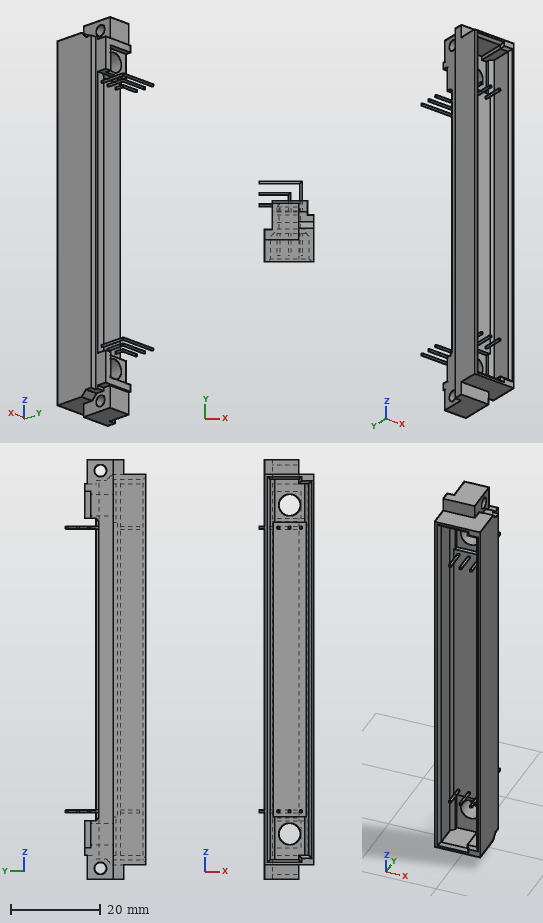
import cadquery as cq


LENGTH = 94.0
HALF_LENGTH = LENGTH / 2
HOUSING_WIDTH = 11.1
HOUSING_HALF = 43.8
HOUSING_DEPTH = 10.5
FLANGE_WIDTH = 7.7
FLANGE_FRONT = 4.9
BACK_STEP_Y = 7.2
BACK_STEP_X = 1.7
BEVEL_FRONT = 7.5
BEVEL_SIZE = 1.4

RAIL_DEPTH = 11.2
TAB_WIDTH = 9.7
EAR_BACK = 13.2
EAR_INNER_Z = 33.8
TAB_BACK = 13.7
TAB_TOP_Z = 41.6
NOTCH_TOP_Z = 39.95
NOTCH_FRONT = 12.3
NOTCH_END_X = 8.1

SIDE_HOLE_DIAMETER = 2.6
SIDE_HOLE_Y = 10.15
SIDE_HOLE_Z = 44.6
SCREW_HOLE_DIAMETER = 4.8
SCREW_HOLE_Z = 36.85

CAVITY_CENTRE_X = 5.6
WALL_HALF = 4.3
LEAD_IN = 0.7
STEP_X = 7.7
CAVITY_HALF_LENGTH = 42.6
STEP_HALF_LENGTH = 41.6
MID_FLOOR = 6.4
END_FLOOR = 7.4
END_FLOOR_HALF = 3.4
FLOOR_BEVEL_START = 5.7
MID_FLOOR_HALF_LENGTH = 33.0

PIN_DIAMETER = 0.6
PIN_PITCH = 2.5
PIN_ROWS = 3
PIN_Z = 31.8
PIN_FRONT = 1.5
PIN_TIP_X = -1.2
PIN_BACK = 18.05


def block(x_range, y_range, z_range):
    """Axis-aligned box between pairs of limits."""
    sizes = [limits[1] - limits[0] for limits in (x_range, y_range, z_range)]
    corner = (x_range[0], y_range[0], z_range[0])
    return cq.Workplane("XY").box(*sizes, centered=False).translate(corner)


def prism_along_z(points, half_length):
    """Prism with the given XY outline, centred on Z = 0."""
    return cq.Workplane("XY").polyline(points).close().extrude(half_length, both=True)


def mirrored(upper):
    """The given upper-end shape together with its copy at the lower end."""
    return upper.union(upper.mirror("XY"))


def housing():
    """Stepped housing with end flanges, bevelled rear end corners and a rear rail."""
    front = block((0, HOUSING_WIDTH), (0, BACK_STEP_Y), (-HOUSING_HALF, HOUSING_HALF))
    rear = block((BACK_STEP_X, HOUSING_WIDTH), (BACK_STEP_Y, HOUSING_DEPTH), (-HOUSING_HALF, HOUSING_HALF))
    bevelled_end = (
        cq.Workplane("YZ")
        .workplane(offset=FLANGE_WIDTH)
        .moveTo(BEVEL_FRONT, HOUSING_HALF)
        .lineTo(BEVEL_FRONT + BEVEL_SIZE, HOUSING_HALF - BEVEL_SIZE)
        .lineTo(HOUSING_DEPTH, HOUSING_HALF - BEVEL_SIZE)
        .lineTo(HOUSING_DEPTH, HOUSING_HALF)
        .close()
        .extrude(HOUSING_WIDTH - FLANGE_WIDTH)
    )
    flange = block((0, FLANGE_WIDTH), (FLANGE_FRONT, BACK_STEP_Y), (-HALF_LENGTH, HALF_LENGTH))
    rail_half = HOUSING_HALF - BEVEL_SIZE
    rail = block((FLANGE_WIDTH, TAB_WIDTH), (BACK_STEP_Y, RAIL_DEPTH), (-rail_half, rail_half))
    return front.union(rear).cut(mirrored(bevelled_end)).union(flange).union(rail)


def ear():
    """Upper ear with its rear tab, a notched rear face and a bevelled foot."""
    plate = block((BACK_STEP_X, FLANGE_WIDTH), (BACK_STEP_Y, EAR_BACK), (EAR_INNER_Z, HALF_LENGTH))
    tab = block((BACK_STEP_X, TAB_WIDTH), (BACK_STEP_Y, TAB_BACK), (EAR_INNER_Z, TAB_TOP_Z))
    notch = block((BACK_STEP_X, NOTCH_END_X), (NOTCH_FRONT, TAB_BACK), (EAR_INNER_Z, NOTCH_TOP_Z))
    foot_size = RAIL_DEPTH - HOUSING_DEPTH
    foot = (
        cq.Workplane("YZ")
        .workplane(offset=BACK_STEP_X)
        .moveTo(HOUSING_DEPTH, EAR_INNER_Z)
        .lineTo(RAIL_DEPTH, EAR_INNER_Z)
        .lineTo(HOUSING_DEPTH, EAR_INNER_Z - foot_size)
        .close()
        .extrude(FLANGE_WIDTH - BACK_STEP_X)
    )
    return plate.union(tab).cut(notch).union(foot)


def cavity_outline(plane, growth):
    """Cavity outline, shorter beyond the step; growth moves every wall outward."""
    left = CAVITY_CENTRE_X - WALL_HALF - growth
    right = CAVITY_CENTRE_X + WALL_HALF + growth
    step = STEP_X + growth
    long_half = CAVITY_HALF_LENGTH + growth
    short_half = STEP_HALF_LENGTH + growth
    points = [
        (left, -long_half),
        (step, -long_half),
        (step, -short_half),
        (right, -short_half),
        (right, short_half),
        (step, short_half),
        (step, long_half),
        (left, long_half),
    ]
    return plane.polyline(points).close()


def cavity():
    """Open cavity with a flared mouth, bevelled floor edges and deeper floors at both ends."""
    mouth = cavity_outline(cq.Workplane("XZ"), LEAD_IN)
    throat = mouth.workplane(offset=-LEAD_IN)
    lead_in = cavity_outline(throat, 0).loft(ruled=True)
    well = cavity_outline(cq.Workplane("XZ"), 0).extrude(-END_FLOOR)

    bevel_end = FLOOR_BEVEL_START + WALL_HALF - END_FLOOR_HALF
    half_profile = [
        (WALL_HALF, 0),
        (WALL_HALF, FLOOR_BEVEL_START),
        (END_FLOOR_HALF, bevel_end),
        (END_FLOOR_HALF, END_FLOOR),
    ]
    right_side = [(CAVITY_CENTRE_X + x, y) for x, y in half_profile]
    left_side = [(CAVITY_CENTRE_X - x, y) for x, y in reversed(half_profile)]
    well = well.intersect(prism_along_z(right_side + left_side, CAVITY_HALF_LENGTH))

    raised_floor = block(
        (0, HOUSING_WIDTH), (MID_FLOOR, END_FLOOR), (-MID_FLOOR_HALF_LENGTH, MID_FLOOR_HALF_LENGTH)
    )
    return lead_in.union(well.cut(raised_floor))


def holes():
    """Cross hole through the upper ear and screw hole through the end floor."""
    side_hole = (
        cq.Workplane("YZ")
        .center(SIDE_HOLE_Y, SIDE_HOLE_Z)
        .circle(SIDE_HOLE_DIAMETER / 2)
        .extrude(HOUSING_WIDTH)
    )
    screw_hole = (
        cq.Workplane("XZ")
        .center(CAVITY_CENTRE_X, SCREW_HOLE_Z)
        .circle(SCREW_HOLE_DIAMETER / 2)
        .extrude(-TAB_BACK)
    )
    return side_hole.union(screw_hole)


def pin(row):
    """Round right-angle contact of the upper group; row 0 is nearest the flat side."""
    x = CAVITY_CENTRE_X + (row - (PIN_ROWS - 1) / 2) * PIN_PITCH
    bend_y = PIN_BACK - PIN_DIAMETER / 2 - (PIN_ROWS - 1 - row) * PIN_PITCH
    path = (
        cq.Workplane("XY", origin=(0, 0, PIN_Z))
        .moveTo(x, PIN_FRONT)
        .lineTo(x, bend_y)
        .lineTo(PIN_TIP_X, bend_y)
    )
    start = cq.Workplane("XZ", origin=(x, PIN_FRONT, PIN_Z))
    return start.circle(PIN_DIAMETER / 2).sweep(path, transition="round")


result = housing().union(mirrored(ear())).cut(cavity()).cut(mirrored(holes()))
for row in range(PIN_ROWS):
    result = result.union(mirrored(pin(row)))